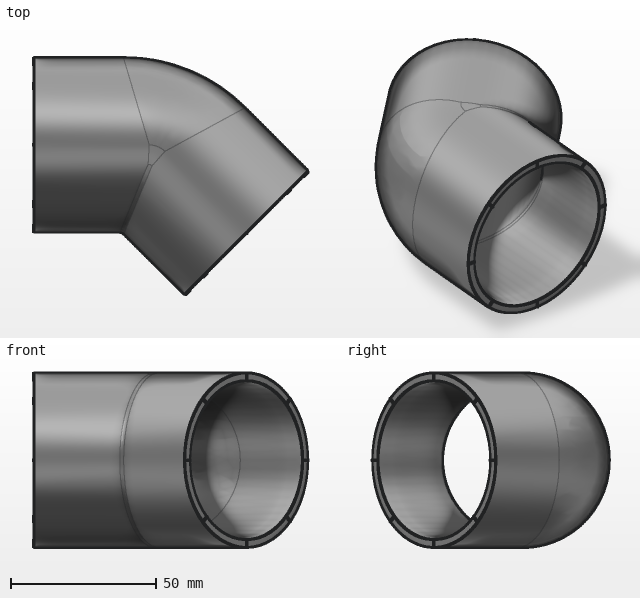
import cadquery as cq
import math


bend_angle = math.radians(45)
outer_diameter = 60.3
bore_diameter = 54.3
leg_length = 42.9

inside_bend_radius = 1.9
crest_bend_radius = 7.6
crest_blend_width = 6.6
outer_back_radius = 59.3
bore_back_radius = 57.6
section_count = 8
rim_steps = 6
joining_tolerance = 0.001

rim_chamfer = 0.3
bead_radius = 0.3
bead_count = 8

outer_radius = outer_diameter / 2
bore_radius = bore_diameter / 2
bead_length = outer_radius - bore_radius - 2 * rim_chamfer
mitre_slope = math.tan(bend_angle / 2)
mitre_normal = cq.Vector(math.cos(bend_angle / 2), -math.sin(bend_angle / 2), 0)
second_leg_direction = cq.Vector(math.cos(bend_angle), -math.sin(bend_angle), 0)


def bend_point(offset, height, bend_radius, angle):
    """Point on the arc that is tangent to both legs at a sideways offset from their axes."""
    centre_y = offset - bend_radius
    return cq.Vector(
        centre_y * mitre_slope + bend_radius * math.sin(angle),
        centre_y + bend_radius * math.cos(angle),
        height,
    )


def rim_curve(pipe_radius, first, last, angle, side):
    """Curve across a bend strip, on the upper (side 1) or lower (side -1) half of the pipe."""
    first_offset, first_bend_radius = first
    last_offset, last_bend_radius = last
    growth = (last_bend_radius - first_bend_radius) / (last_offset - first_offset)
    first_turn = math.acos(first_offset / pipe_radius)
    last_turn = math.acos(last_offset / pipe_radius)
    points = []
    for step in range(rim_steps + 1):
        turn = first_turn + (last_turn - first_turn) * step / rim_steps
        offset = pipe_radius * math.cos(turn)
        height = side * pipe_radius * math.sin(turn)
        bend_radius = first_bend_radius + growth * (offset - first_offset)
        points.append(bend_point(offset, height, bend_radius, angle))
    return points


def bend_strip(pipe_radius, first, last):
    """Part of the bend between two sideways offsets, its radius changing evenly from first to last."""
    sections = []
    for index in range(section_count + 1):
        angle = bend_angle * index / section_count
        upper = rim_curve(pipe_radius, first, last, angle, 1)
        lower = rim_curve(pipe_radius, first, last, angle, -1)
        if last[0] == pipe_radius:
            edges = [cq.Edge.makeSpline(upper + lower[-2::-1])]
        elif first[0] == -pipe_radius:
            edges = [cq.Edge.makeSpline(upper[::-1] + lower[1:])]
        else:
            edges = [
                cq.Edge.makeSpline(upper),
                cq.Edge.makeLine(upper[-1], lower[-1]),
                cq.Edge.makeSpline(lower[::-1]),
            ]
        edges.append(cq.Edge.makeLine(edges[-1].endPoint(), edges[0].startPoint()))
        sections.append(cq.Wire.assembleEdges(edges))
    return cq.Solid.makeLoft(sections)


def elbow(pipe_radius, length, bend_stations):
    """Solid elbow; the stations pair sideways offsets from the axis with bend radii, inside to back."""
    leg = cq.Workplane("YZ", origin=(-length, 0, 0)).circle(pipe_radius).extrude(2 * length)
    trim = cq.Workplane("XY").moveTo(-length, -pipe_radius)
    for offset, bend_radius in bend_stations:
        start = bend_point(offset, 0, bend_radius, 0)
        trim = trim.lineTo(start.x, start.y)
    trim = trim.lineTo(-length, pipe_radius).close().extrude(pipe_radius, both=True)
    leg = leg.intersect(trim)

    strips = [bend_strip(pipe_radius, *ends) for ends in zip(bend_stations, bend_stations[1:])]
    body = leg.val().fuse(leg.mirror(mitre_normal).val(), *strips, tol=joining_tolerance)
    return cq.Workplane(body.clean())


def end_beads():
    """Radial beads on the end face of the first leg."""
    beads = cq.Workplane("XY")
    for index in range(bead_count):
        bead = (
            cq.Workplane("XY", origin=(-leg_length, 0, bore_radius + rim_chamfer))
            .circle(bead_radius)
            .extrude(bead_length)
            .rotate((0, 0, 0), (1, 0, 0), index * 360 / bead_count)
        )
        beads = beads.add(bead)
    return beads.combine()


outer_bend_stations = [
    (-outer_radius, inside_bend_radius),
    (-crest_blend_width, inside_bend_radius),
    (0, crest_bend_radius),
    (outer_radius, outer_back_radius),
]
bore_bend_stations = [
    (-bore_radius, inside_bend_radius),
    (0, inside_bend_radius),
    (bore_radius, bore_back_radius),
]
outer_body = elbow(outer_radius, leg_length, outer_bend_stations)
bore = elbow(bore_radius, leg_length, bore_bend_stations)
fitting = outer_body.cut(bore)

for direction in (cq.Vector(-1, 0, 0), second_leg_direction):
    end_face = cq.selectors.DirectionMinMaxSelector(direction)
    fitting = fitting.faces(end_face).edges().chamfer(rim_chamfer)

beads = end_beads()
result = fitting.union(beads).union(beads.mirror(mitre_normal))